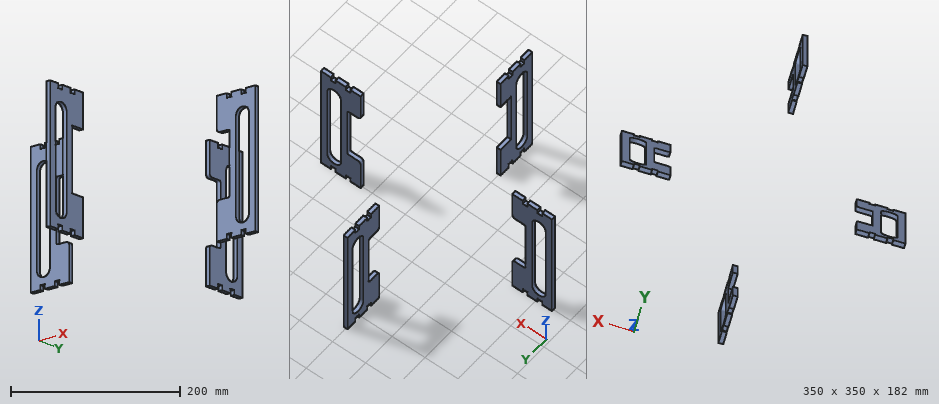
import cadquery as cq

span = 350.0
plate_height = 182.0
plate_width = 60.2
plate_thickness = 6.0

slot_width = 20.3
slot_inset = 9.8
slot_bottom = 15.0
slot_top_gap = 22.0

recess_depth = 20.0
recess_bottom = 51.0
recess_top_gap = 46.2
tip_radius = 5.0
root_radius = 2.0

notch_width = 7.0
notch_depth = 6.0
notch_inset = 15.0
notch_pitch = 22.5
notch_count = 2

outer_x = span / 2
inner_x = outer_x - plate_width
neck_x = inner_x + recess_depth
bottom_z = -plate_height / 2
top_z = plate_height / 2


def upright_block(x_min, x_max, z_min, z_max):
    """Block of plate thickness, centred on the XZ plane."""
    return (
        cq.Workplane("XY")
        .box(x_max - x_min, plate_thickness, z_max - z_min)
        .translate(((x_min + x_max) / 2, 0, (z_min + z_max) / 2))
    )


def plate_blank(rounded):
    """C-shaped plate on the +X side, with or without rounded recess corners."""
    recess_z_min = bottom_z + recess_bottom
    recess_z_max = top_z - recess_top_gap
    blank = upright_block(inner_x, outer_x, bottom_z, top_z)
    blank = blank.cut(upright_block(inner_x, neck_x, recess_z_min, recess_z_max))
    if not rounded:
        return blank

    for x, radius in ((inner_x, tip_radius), (neck_x, root_radius)):
        for z in (recess_z_min, recess_z_max):
            corner_edge = cq.selectors.NearestToPointSelector((x, 0, z))
            blank = blank.edges("|Y").edges(corner_edge).fillet(radius)
    return blank


def slot_cutter():
    """Upright slot with semicircular ends."""
    slot_z_min = bottom_z + slot_bottom
    slot_z_max = top_z - slot_top_gap
    slot_x = outer_x - slot_inset - slot_width / 2
    return (
        cq.Workplane("XZ")
        .center(slot_x, (slot_z_min + slot_z_max) / 2)
        .slot2D(slot_z_max - slot_z_min, slot_width, 90)
        .extrude(plate_thickness, both=True)
    )


def cut_notches(plate):
    """Matching notches in the top and bottom edges."""
    for index in range(notch_count):
        notch_x_max = outer_x - notch_inset - index * notch_pitch
        notch_x_min = notch_x_max - notch_width
        plate = plate.cut(upright_block(notch_x_min, notch_x_max, top_z - notch_depth, top_z))
        plate = plate.cut(upright_block(notch_x_min, notch_x_max, bottom_z, bottom_z + notch_depth))
    return plate


def make_plate(rounded, angle):
    """One plate, turned about the Z axis from the +X side."""
    plate = cut_notches(plate_blank(rounded).cut(slot_cutter()))
    return plate.rotate((0, 0, 0), (0, 0, 1), angle)


rounded_plates = [make_plate(True, angle).val() for angle in (0, 90, 180)]
square_plate = make_plate(False, 270)

result = cq.Compound.makeCompound([*rounded_plates, square_plate.val()])